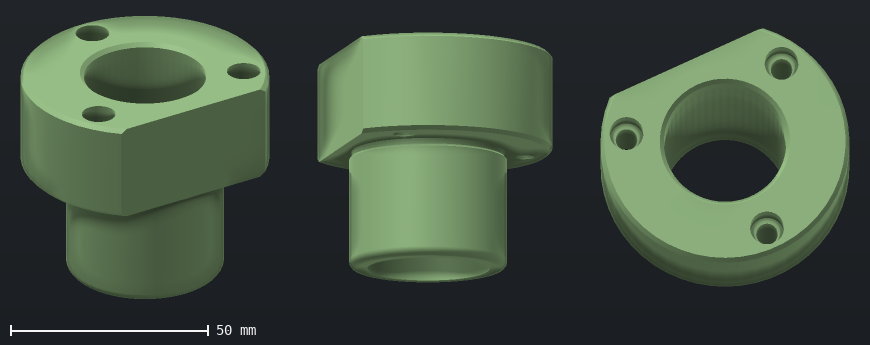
import cadquery as cq

flange_diameter = 62.95
flange_height = 25.0
flange_chamfer = 1.0
flat_distance = 23.05

total_height = 55.0
shank_diameter = 40.0
shank_edge_radius = 2.0
groove_diameter = 38.7
groove_height = 1.4
shank_chamfer = (shank_diameter - groove_diameter) / 2

bore_diameter = 31.0
bore_chamfer = 1.0

hole_count = 3
hole_circle_radius = 25.0
hole_diameter = 5.5
counterbore_diameter = 8.55
counterbore_depth = 6.0

shank_length = total_height - flange_height
shank_top = shank_length - groove_height


def make_flange():
    """Disc with chamfered rims, cut off by a plain flat on the +X side."""
    disc = (
        cq.Workplane("XY", origin=(0, 0, shank_length))
        .circle(flange_diameter / 2)
        .extrude(flange_height)
        .edges()
        .chamfer(flange_chamfer)
    )
    waste = cq.Workplane("XY").box(
        flange_diameter, 2 * flange_diameter, 2 * total_height, centered=(False, True, True)
    )
    return disc.cut(waste.translate((flat_distance, 0, 0)))


def make_shank():
    """Cylinder with a rounded lower rim and a narrow neck up to the flange."""
    body = cq.Workplane("XY").circle(shank_diameter / 2).extrude(shank_top)
    body = body.faces("<Z").edges().fillet(shank_edge_radius)
    body = body.faces(">Z").edges().chamfer(shank_chamfer)
    neck = (
        cq.Workplane("XY", origin=(0, 0, shank_top))
        .circle(groove_diameter / 2)
        .extrude(groove_height)
    )
    return body.union(neck)


def make_bore():
    """Through bore with a chamfered mouth at the top."""
    bore = cq.Workplane("XY").circle(bore_diameter / 2).extrude(total_height)
    mouth = (
        cq.Workplane("XY", origin=(0, 0, total_height))
        .circle(bore_diameter / 2 + bore_chamfer)
        .workplane(offset=-bore_chamfer)
        .circle(bore_diameter / 2)
        .loft()
    )
    return bore.union(mouth)


result = make_flange().union(make_shank()).cut(make_bore())

result = (
    result.faces(">Z")
    .workplane(origin=(0, 0, total_height))
    .polarArray(hole_circle_radius, 180, 360, hole_count)
    .cboreHole(hole_diameter, counterbore_diameter, counterbore_depth)
)